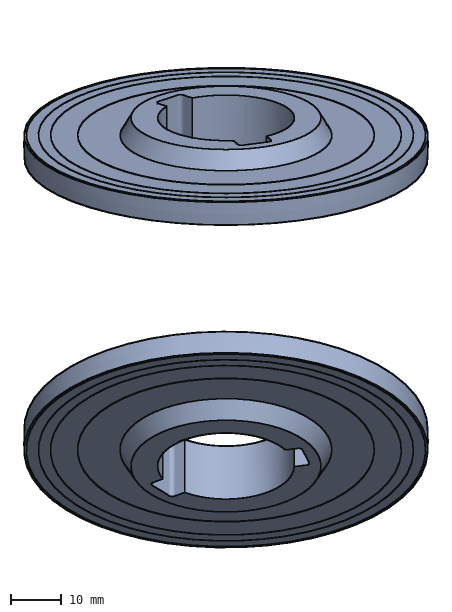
import cadquery as cq

OUTER_RADIUS = 40.0
HUB_HEIGHT = 12.0

BOSS_TOP_RADIUS = 18.8
BOSS_BASE_RADIUS = 21.0
FLANGE_RADIUS = 29.4
FLANGE_THICKNESS = 4.6

BORE_RADIUS = 13.5
KEYWAY_WIDTH = 7.0
KEYWAY_REACH = 16.3
KEYWAY_FILLET = 0.8
KEYWAY_ANGLES = (0.0, 203.5)

RING_INNER_THICKNESS = 4.8
RING_OUTER_THICKNESS = 5.0
GROOVE_INNER_RADIUS = 34.7
GROOVE_OUTER_RADIUS = 37.1
GROOVE_DEPTH = 0.04
LIP_WIDTH = 0.5
LIP_DEPTH = 0.1
RIM_DRAFT = 0.04


def revolve_mirrored(upper_points):
    """Revolve about Z a profile given by its upper half, mirrored below Z = 0."""
    lower_points = [(r, -z) for r, z in reversed(upper_points) if z > 0]
    return cq.Workplane("XZ").polyline(upper_points + lower_points).close().revolve(360, (0, 0), (0, 1))


def make_keyway(angle):
    """Cutter for one keyway, with rounded floor corners."""
    cutter = cq.Workplane("XY").box(KEYWAY_REACH, KEYWAY_WIDTH, HUB_HEIGHT, centered=(False, True, True))
    return cutter.edges("|Z and >X").fillet(KEYWAY_FILLET).rotate((0, 0, 0), (0, 0, 1), angle)


def make_hub():
    hub = revolve_mirrored([
        (BORE_RADIUS, HUB_HEIGHT / 2),
        (BOSS_TOP_RADIUS, HUB_HEIGHT / 2),
        (BOSS_BASE_RADIUS, FLANGE_THICKNESS / 2),
        (FLANGE_RADIUS, FLANGE_THICKNESS / 2),
    ])
    for angle in KEYWAY_ANGLES:
        hub = hub.cut(make_keyway(angle))
    return hub


def ring_face_height(radius):
    """Height of the sloping ring face above mid-plane at a given radius."""
    rise = (RING_OUTER_THICKNESS - RING_INNER_THICKNESS) / 2
    return RING_INNER_THICKNESS / 2 + rise * (radius - FLANGE_RADIUS) / (OUTER_RADIUS - FLANGE_RADIUS)


def make_ring():
    groove_inner_height = ring_face_height(GROOVE_INNER_RADIUS)
    groove_outer_height = ring_face_height(GROOVE_OUTER_RADIUS)
    lip_radius = OUTER_RADIUS - LIP_WIDTH
    lip_top = ring_face_height(lip_radius)
    return revolve_mirrored([
        (FLANGE_RADIUS, ring_face_height(FLANGE_RADIUS)),
        (GROOVE_INNER_RADIUS, groove_inner_height),
        (GROOVE_INNER_RADIUS, groove_inner_height - GROOVE_DEPTH),
        (GROOVE_OUTER_RADIUS, groove_outer_height - GROOVE_DEPTH),
        (GROOVE_OUTER_RADIUS, groove_outer_height),
        (lip_radius, lip_top),
        (lip_radius, lip_top - LIP_DEPTH),
        (OUTER_RADIUS - RIM_DRAFT, lip_top - LIP_DEPTH),
        (OUTER_RADIUS, 0),
    ])


hub = make_hub()
ring = make_ring()
result = cq.Compound.makeCompound([hub.val(), ring.val()])